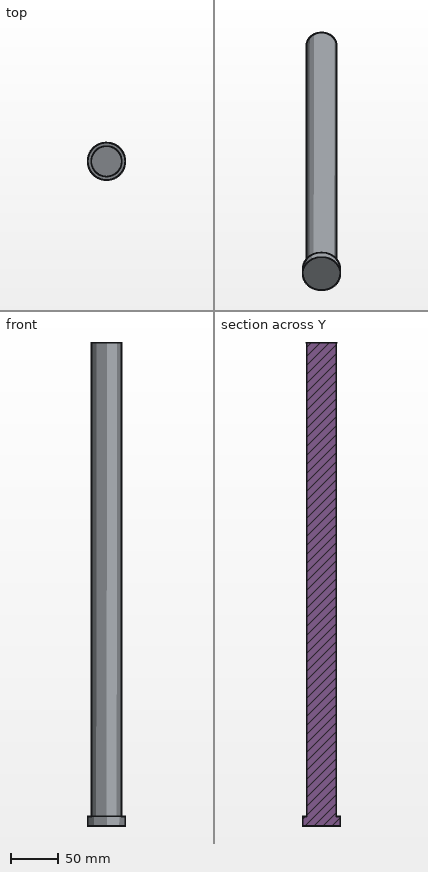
import cadquery as cq

total_length = 510.0
head_diameter = 40.0
head_height = 10.0
shank_diameter = 32.0

head = cq.Workplane("XY").circle(head_diameter / 2).extrude(head_height)
shank = cq.Workplane("XY").circle(shank_diameter / 2).extrude(total_length)

result = head.union(shank)